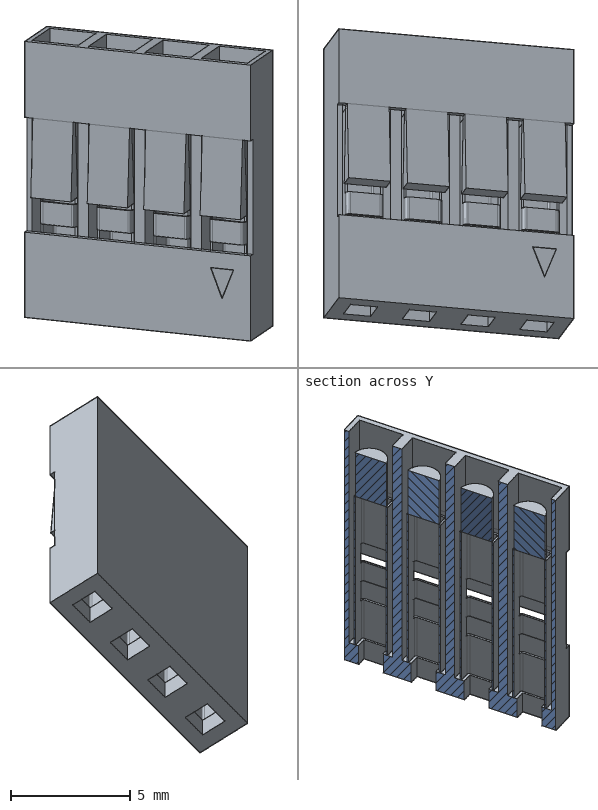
import cadquery as cq

circuits = 4
housing_width = 10.16
housing_depth = 2.55
housing_height = 12.0
pitch = housing_width / circuits
cavity_width = 2.08
cavity_depth = 2.04
floor_thickness = 1.0
pin_hole_side = 1.18

housing_front = -housing_depth / 2
cavity_front = -cavity_depth / 2
front_wall = cavity_front - housing_front

recess_bottom = 3.71
recess_top = 8.7

latch_width = 1.81
latch_bottom = 5.3
latch_outer_reach = 0.24
latch_inner_reach = 0.26

mark_width = 1.02
mark_top = 3.02
mark_tip = 1.74
mark_rise = 0.05

tube_width = 1.63
tube_depth = 1.55
tube_wall = 0.1
tube_corner = 0.18
window_cut = 0.22
band_bottom = 3.98
band_top = 4.97
window_height = band_top - band_bottom
tube_top = recess_top
barrel_diameter = 1.54
barrel_inset = 1.0
barrel_top = housing_height - barrel_inset

circuit_places = [(i - (circuits - 1) / 2) * pitch for i in range(circuits)]


def block(width, depth, bottom, top):
    """Rectangular block centred on the Z axis, from one height to another."""
    return cq.Workplane("XY").workplane(offset=bottom).rect(width, depth).extrude(top - bottom)


def make_latch():
    """Wedge that thickens downwards, both outwards and into the cavity."""
    profile = [
        (housing_front, recess_top),
        (cavity_front, recess_top),
        (cavity_front + latch_inner_reach, latch_bottom),
        (housing_front - latch_outer_reach, latch_bottom),
    ]
    return cq.Workplane("YZ").polyline(profile).close().extrude(latch_width / 2, both=True)


def make_mark():
    """Triangle pointing down, raised from the front face below the circuit at the +X end."""
    middle = circuit_places[-1]
    corners = [
        (middle - mark_width / 2, mark_top),
        (middle + mark_width / 2, mark_top),
        (middle, mark_tip),
    ]
    return cq.Workplane("XZ", origin=(0, housing_front, 0)).polyline(corners).close().extrude(mark_rise)


def make_housing():
    body = block(housing_width, housing_depth, 0, housing_height)
    recess = block(housing_width, front_wall, recess_bottom, recess_top)
    body = body.cut(recess.translate((0, housing_front + front_wall / 2, 0)))
    cavity = block(cavity_width, cavity_depth, floor_thickness, housing_height)
    pin_hole = block(pin_hole_side, pin_hole_side, 0, floor_thickness)
    latch = make_latch()
    for x in circuit_places:
        body = body.cut(cavity.translate((x, 0, 0)))
        body = body.cut(pin_hole.translate((x, 0, 0)))
        body = body.union(latch.translate((x, 0, 0)))
    return body.union(make_mark())


def make_contact(x):
    tube = block(tube_width, tube_depth, floor_thickness, tube_top).edges("|Z").fillet(tube_corner)
    bore = block(tube_width - 2 * tube_wall, tube_depth - 2 * tube_wall, floor_thickness, tube_top)
    tube = tube.cut(bore.edges("|Z").fillet(tube_corner - tube_wall))

    window_middle = -tube_depth / 2 + window_cut / 2
    for window_bottom in (band_bottom - window_height, band_top):
        window = block(tube_width, window_cut, window_bottom, window_bottom + window_height)
        tube = tube.cut(window.translate((0, window_middle, 0)))

    barrel = cq.Workplane("XY").workplane(offset=tube_top).circle(barrel_diameter / 2)
    contact = tube.union(barrel.extrude(barrel_top - tube_top))
    return contact.translate((x, 0, 0))


housing = make_housing()
contacts = [make_contact(x) for x in circuit_places]

result = cq.Compound.makeCompound([housing.val(), *[contact.val() for contact in contacts]])